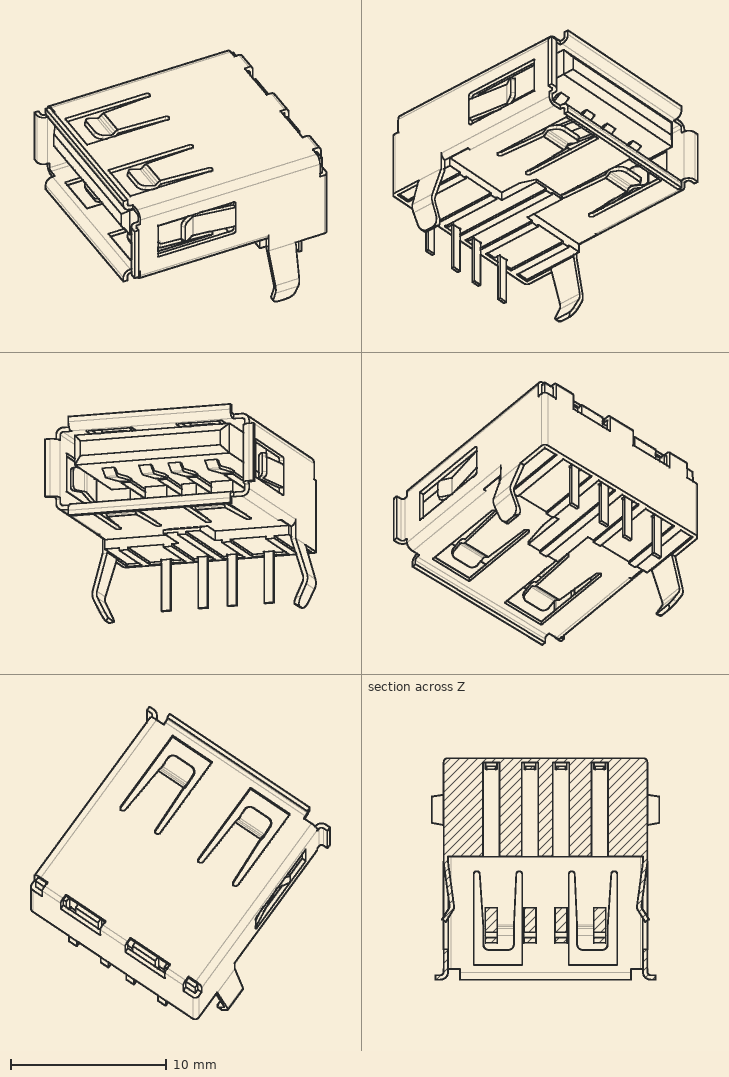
import cadquery as cq
import math


sheet = 0.3
shell_half_width = 6.58
shell_top = 6.25
shell_bottom = 0.78
shell_front = 0.68
shell_back = 14.3
step_y = 9.97
corner_radius = 0.48
inner_half_width = shell_half_width - sheet
inner_top = shell_top - sheet
inner_bottom = shell_bottom + sheet
inner_back = shell_back - sheet
mouth_center_z = (shell_top + shell_bottom) / 2

lip_half_length = 5.52
lip_rise = 0.53
lip_inner_radius = 0.2
side_lip_bottom = 1.6
side_lip_top = 5.4
side_lip_root_fillet = 0.07

notch_depth = 0.6
notch_floor_z = 4.73
notch_inner_x = 0.98
notch_outer_x = 4.1
corner_notch_x = 5.55
rear_bend_radius = 0.29

spring_window_inner_x = 1.51
spring_window_outer_x = 4.62
spring_window_front = 0.96
spring_root_y = 6.99
spring_slot_width = 0.36
spring_root_inner_x = spring_window_inner_x + spring_slot_width
spring_root_outer_x = spring_window_outer_x - spring_slot_width
spring_tip_inner_x = 2.03
spring_tip_outer_x = 4.02
spring_tip_radius = 0.4
spring_bend_y = 3.44
spring_trough_y = 3.08
spring_tip_y = 1.96
spring_dip = 0.32
spring_tip_overrise = 0.07
spring_bend_radius = 0.15

side_window_front = 1.97
side_window_back = 7.6
side_window_bottom = 2.3
side_window_top = 4.83
side_window_radius = 0.18
side_spring_bottom = 2.84
side_spring_top = 4.36
side_spring_bend_y = 4.65
side_spring_tip_y = 3.805
side_spring_inner_x = 5.88
side_spring_tip_x = 6.56
side_spring_bend_radius = 0.12
side_spring_tip_radius = 0.25

lock_front = step_y
lock_back = 11.94
lock_tip_front = 10.22
lock_tip_back = 11.74
lock_bottom = -4.33
lock_knee_z = -2.68
lock_knee_x = 7.395
lock_bend_radius = 0.6
lock_tip_x = 6.46
lock_tip_z = -4.27
lock_overlap = 0.1
lock_tip_radius = 0.55

wall_front = 7.95
base_front = 9.5
foot_front = 6.51
foot_half_width = 1.25
foot_front_height = 0.37
standoff_height = 0.16
standoff_width = 0.57
standoff_centers = (-5.0, -2.0, 0.0, 2.0, 5.0)
tongue_half_width = 5.27
tongue_bottom = 3.68
tongue_top = 5.65
tongue_front = 0.23
tongue_bevel_depth = 0.37
tongue_bevel_width = 0.5

contact_centers = (-3.5, -1.0, 1.0, 3.5)
contact_thickness = 0.2
contact_tip_width = 0.8
pin_width = 0.61
pin_bottom = -3.22
pin_y = 13.68
contact_tip_y = 2.05
contact_tip_z = 3.79
contact_bend_y = 2.76
contact_bend_z = 3.32
contact_root_y = 5.6
contact_bend_radius = 0.1
contact_overlap = 0.02
arm_z = tongue_bottom - contact_thickness / 2 + contact_overlap
groove_width = 1.04
groove_bottom = 2.14
pin_slot_width = 0.73

clearance = 1.0
sliver = 0.005


def box(x_range, y_range, z_range):
    """Axis-aligned box between pairs of limits."""
    size = [limits[1] - limits[0] for limits in (x_range, y_range, z_range)]
    corner = (x_range[0], y_range[0], z_range[0])
    return cq.Workplane("XY").box(*size, centered=False).translate(corner)


def both_sides(body):
    """The body together with its mirror image across the YZ plane."""
    return body.union(body.mirror("YZ"))


def top_and_bottom(body):
    """The body together with its mirror image across the mid height of the mouth."""
    return body.union(body.mirror("XY", (0, 0, mouth_center_z)))


def bent_strip(plane, center_line, thickness, inner_radius):
    """Closed outline of a sheet strip along an open centre line, with every bend rounded."""
    middle_radius = inner_radius + thickness / 2
    directions = []
    for (u0, v0), (u1, v1) in zip(center_line, center_line[1:]):
        length = math.hypot(u1 - u0, v1 - v0)
        directions.append(((u1 - u0) / length, (v1 - v0) / length))

    def beside(point, direction, along, aside):
        """The point moved along a direction and to the left of it."""
        u = point[0] + along * direction[0] - aside * direction[1]
        v = point[1] + along * direction[1] + aside * direction[0]
        return (u, v)

    def bend(index, offset):
        """Start, middle and end of the arc that one side of the strip makes at a bend."""
        corner = center_line[index]
        before, after = directions[index - 1], directions[index]
        turn = math.asin(before[0] * after[1] - before[1] * after[0])
        setback = middle_radius * math.tan(abs(turn) / 2)
        side = math.copysign(1, turn)
        radius = middle_radius - offset * side
        to_corner = middle_radius / math.cos(turn / 2)
        heading = math.atan2(before[1], before[0]) + turn / 2
        middle_direction = (math.cos(heading), math.sin(heading))
        inward = (to_corner - radius) * side
        start = beside(corner, before, -setback, offset)
        middle = beside(corner, middle_direction, 0, inward)
        end = beside(corner, after, setback, offset)
        return start, middle, end

    half = thickness / 2
    bends = range(1, len(center_line) - 1)
    outline = cq.Workplane(plane).moveTo(*beside(center_line[0], directions[0], 0, half))
    for index in bends:
        start, middle, end = bend(index, half)
        outline = outline.lineTo(*start).threePointArc(middle, end)
    outline = outline.lineTo(*beside(center_line[-1], directions[-1], 0, half))
    outline = outline.lineTo(*beside(center_line[-1], directions[-1], 0, -half))
    for index in reversed(bends):
        start, middle, end = bend(index, -half)
        outline = outline.lineTo(*end).threePointArc(middle, start)
    return outline.lineTo(*beside(center_line[0], directions[0], 0, -half)).close()


def make_shell_body():
    """Bent sheet: full-length top, sides and back, and a floor under the mouth only."""
    full_x = (-shell_half_width, shell_half_width)
    cavity_x = (-inner_half_width, inner_half_width)
    inner_radius = corner_radius - sheet
    front = box(full_x, (shell_front, step_y), (shell_bottom, shell_top)).edges("|Y").fillet(corner_radius)
    rear = box(full_x, (step_y, shell_back), (0, shell_top)).edges("|Y and >Z").fillet(corner_radius)
    front_cavity = box(cavity_x, (shell_front, step_y), (inner_bottom, inner_top))
    front_cavity = front_cavity.edges("|Y").fillet(inner_radius)
    rear_cavity = box(cavity_x, (step_y, inner_back), (0, inner_top))
    rear_cavity = rear_cavity.edges("|Y and >Z").fillet(inner_radius)
    rear = rear.edges(">Y and >Z").fillet(rear_bend_radius)
    return front.union(rear).cut(front_cavity).cut(rear_cavity)


def make_rear_notches():
    """Cuts in the top rear edge that leave three bent bridges between top and back."""
    y_range = (shell_back - notch_depth, shell_back + clearance)
    z_range = (notch_floor_z, shell_top + clearance)
    middle = box((notch_inner_x, notch_outer_x), y_range, z_range)
    corner = box((corner_notch_x, shell_half_width + clearance), y_range, z_range)
    return both_sides(middle.union(corner))


def lip_profile(plane, face):
    """Sheet profile leaving the mouth and turning outward through a quarter bend.

    The first plane axis is Y, the second points outward and face is the outer face of the wall.
    """
    outer_radius = lip_inner_radius + sheet
    slant = math.sqrt(0.5)
    inner_center = (outer_radius, face + lip_inner_radius)
    return (
        cq.Workplane(plane)
        .moveTo(shell_front, face - sheet)
        .lineTo(outer_radius, face - sheet)
        .threePointArc(
            (inner_center[0] - outer_radius * slant, inner_center[1] - outer_radius * slant),
            (0, face + lip_inner_radius),
        )
        .lineTo(0, face + lip_rise)
        .lineTo(sheet, face + lip_rise)
        .lineTo(sheet, face + lip_inner_radius)
        .threePointArc(
            (inner_center[0] - lip_inner_radius * slant, inner_center[1] - lip_inner_radius * slant),
            (outer_radius, face),
        )
        .lineTo(shell_front, face)
        .close()
    )


def make_lips():
    """Lips above, below and on both sides of the mouth."""
    top_lip = lip_profile("YZ", shell_top).extrude(lip_half_length, both=True)
    side_plane = cq.Plane(origin=(0, 0, side_lip_bottom), xDir=(0, 1, 0), normal=(0, 0, 1))
    side_lip = lip_profile(side_plane, shell_half_width).extrude(side_lip_top - side_lip_bottom)
    return top_and_bottom(top_lip).union(both_sides(side_lip))


def make_top_spring():
    """One contact spring of the top: flat arm, dip into the mouth and upturned tip."""
    middle = shell_top - sheet / 2
    center_line = [
        (spring_root_y + sheet, middle),
        (spring_bend_y, middle),
        (spring_trough_y, middle - spring_dip),
        (spring_tip_y, middle + spring_tip_overrise),
    ]
    strip = bent_strip("YZ", center_line, sheet, spring_bend_radius).extrude(spring_window_outer_x)
    outline = (
        cq.Workplane("XY")
        .polyline(
            [
                (spring_root_inner_x, spring_root_y + sheet),
                (spring_root_inner_x, spring_root_y),
                (spring_tip_inner_x, spring_bend_y),
                (spring_tip_inner_x, shell_front),
                (spring_tip_outer_x, shell_front),
                (spring_tip_outer_x, spring_bend_y),
                (spring_root_outer_x, spring_root_y),
                (spring_root_outer_x, spring_root_y + sheet),
            ]
        )
        .close()
        .extrude(shell_top + clearance)
    )
    spring = strip.intersect(outline)
    return spring.faces("<Y").edges("not |X").fillet(spring_tip_radius)


def make_top_window():
    """Opening of one top spring: a rectangle whose rear runs out in two rounded slots."""
    z_range = (inner_top - clearance, shell_top + clearance)
    x_range = (spring_window_inner_x, spring_window_outer_x)
    slot_round = spring_slot_width / 2 - sliver
    window = box(x_range, (spring_window_front, spring_root_y), z_range)
    root = (
        cq.Workplane("XY", origin=(0, 0, z_range[0]))
        .polyline(
            [
                (spring_root_inner_x, spring_root_y),
                (spring_tip_inner_x, spring_bend_y),
                (spring_tip_outer_x, spring_bend_y),
                (spring_root_outer_x, spring_root_y),
            ]
        )
        .close()
        .extrude(z_range[1] - z_range[0])
    )
    return window.cut(root).edges("|Z and >Y").fillet(slot_round)


def make_side_window():
    """Opening of the spring in the +X wall, rounded at the rear."""
    x_range = (inner_half_width - clearance / 2, shell_half_width + clearance)
    window = box(x_range, (side_window_front, side_window_back), (side_window_bottom, side_window_top))
    return window.edges("|X and >Y").fillet(side_window_radius)


def make_side_spring():
    """Spring of the +X wall: leans inward from its rear root, then flares out at the tip."""
    middle = shell_half_width - sheet / 2
    center_line = [
        (middle, side_window_back + sheet),
        (middle, side_window_back),
        (side_spring_inner_x + sheet / 2, side_spring_bend_y),
        (side_spring_tip_x, side_spring_tip_y),
    ]
    strip = bent_strip("XY", center_line, sheet, side_spring_bend_radius)
    strip = strip.extrude(side_spring_top - side_spring_bottom)
    strip = strip.translate((0, 0, side_spring_bottom))
    return strip.faces("<Y").edges("not |Z").fillet(side_spring_tip_radius)


def make_board_lock():
    """Kinked, tapered leg below the +X wall."""
    middle = shell_half_width - sheet / 2
    knee_x = lock_knee_x - sheet / 2
    slope = (knee_x - middle) / lock_knee_z
    center_line = [
        (middle + slope * lock_overlap, lock_overlap),
        (knee_x, lock_knee_z),
        (lock_tip_x, lock_tip_z),
    ]
    strip = bent_strip("XZ", center_line, sheet, lock_bend_radius).extrude(-shell_back)
    taper = (
        cq.Workplane("YZ")
        .polyline(
            [
                (lock_front, sheet),
                (lock_front, 0),
                (lock_tip_front, lock_bottom),
                (lock_tip_back, lock_bottom),
                (lock_back, 0),
                (lock_back, sheet),
            ]
        )
        .close()
        .extrude(lock_knee_x + clearance)
        .edges("|X and <Z")
        .fillet(lock_tip_radius)
    )
    return strip.intersect(taper)


def make_shell():
    """The complete shell with its lips, springs and board locks."""
    windows = top_and_bottom(make_top_window())
    springs = top_and_bottom(make_top_spring())
    shell = make_shell_body().cut(make_rear_notches()).union(make_lips())
    shell = shell.cut(both_sides(windows)).cut(both_sides(make_side_window()))
    shell = shell.union(both_sides(springs)).union(both_sides(make_side_spring()))
    shell = shell.union(both_sides(make_board_lock()))
    wall_x = inner_half_width + sheet / 2
    reach = side_lip_root_fillet
    for x in (-wall_x, wall_x):
        for z in (side_lip_bottom, side_lip_top):
            root = cq.selectors.BoxSelector(
                (x - sheet, shell_front - reach, z - reach), (x + sheet, shell_front + reach, z + reach)
            )
            shell = shell.edges(root).edges("|X").fillet(side_lip_root_fillet)
    return shell


def make_tongue():
    """Mating tongue with all four front edges bevelled."""
    bevel_start = tongue_front + tongue_bevel_depth
    width = 2 * tongue_half_width
    height = tongue_top - tongue_bottom
    middle_z = (tongue_top + tongue_bottom) / 2
    tongue = box(
        (-tongue_half_width, tongue_half_width),
        (bevel_start, wall_front),
        (tongue_bottom, tongue_top),
    )
    nose = (
        cq.Workplane("XZ", origin=(0, bevel_start, middle_z))
        .rect(width, height)
        .workplane(offset=tongue_bevel_depth)
        .rect(width - 2 * tongue_bevel_width, height - 2 * tongue_bevel_width)
        .loft(ruled=True)
    )
    return tongue.union(nose)


def make_insulator():
    """Rear block with a wedge-shaped foot, tongue, standoff ribs and contact channels."""
    full_x = (-inner_half_width, inner_half_width)
    block = box(full_x, (wall_front, inner_back), (shell_bottom, inner_top))
    block = block.union(box(full_x, (base_front, inner_back), (standoff_height, shell_bottom)))
    foot = (
        cq.Workplane("YZ")
        .polyline(
            [
                (base_front, standoff_height),
                (foot_front, standoff_height),
                (foot_front, foot_front_height),
                (wall_front, shell_bottom),
                (base_front, shell_bottom),
            ]
        )
        .close()
        .extrude(foot_half_width, both=True)
    )
    block = block.union(foot)
    for x in standoff_centers:
        rib_x = (x - standoff_width / 2, x + standoff_width / 2)
        rib_front = foot_front if abs(x) < foot_half_width else base_front
        block = block.union(box(rib_x, (rib_front, inner_back), (0, standoff_height)))
    pin_front = pin_y - contact_thickness / 2
    for x in contact_centers:
        groove_x = (x - groove_width / 2, x + groove_width / 2)
        slot_x = (x - pin_slot_width / 2, x + pin_slot_width / 2)
        block = block.cut(box(groove_x, (wall_front, inner_back), (groove_bottom, tongue_bottom)))
        block = block.cut(box(slot_x, (pin_front, inner_back), (0, shell_top)))
    return block.union(make_tongue())


def make_contact(x):
    """Contact centred at x: sprung tip under the tongue, arm through the wall, pin."""
    tip_line = [
        (contact_tip_y, contact_tip_z),
        (contact_bend_y, contact_bend_z),
        (contact_root_y, tongue_bottom),
    ]
    arm_line = [
        (contact_root_y, arm_z),
        (pin_y, arm_z),
        (pin_y, pin_bottom),
    ]
    contact = bent_strip("YZ", tip_line, contact_thickness, contact_bend_radius)
    contact = contact.extrude(contact_tip_width / 2, both=True)
    arm = bent_strip("YZ", arm_line, contact_thickness, contact_bend_radius)
    contact = contact.union(arm.extrude(pin_width / 2, both=True))
    return contact.translate((x, 0, 0))


result = make_shell().union(make_insulator())
for contact_x in contact_centers:
    result = result.union(make_contact(contact_x))